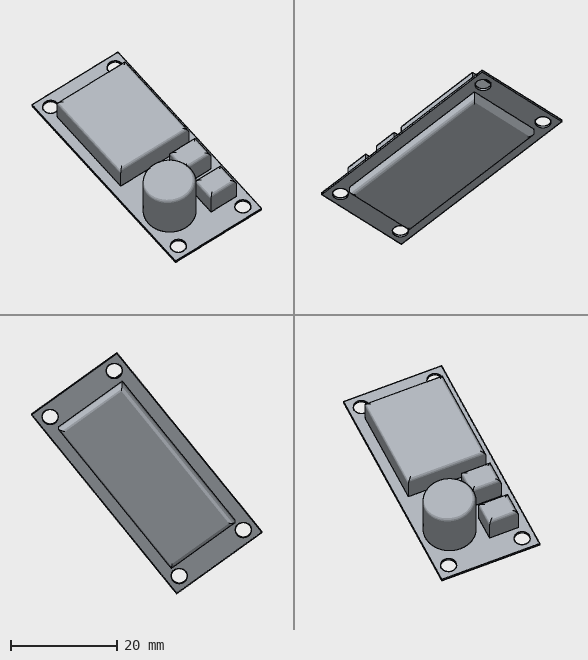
import cadquery as cq

board_length = 45
board_width = 20.2
board_thickness = 0.5
hole_diameter = 3.0
hole_spacing_x = 40.0
hole_spacing_y = 15.15

edge_radius = 1.0

block_height = 5.0
large_block_length = 20.0
large_block_width = 16.0
large_block_x = -7.45
small_block_length = 5.0
small_block_width = 6.0
small_block_y = 5.0
small_block_x_positions = (7.0, 15.0)

capacitor_diameter = 10.0
capacitor_height = 10.0
capacitor_x = 12.5
capacitor_y = -4.0

lower_block_length = 35.0
lower_block_width = 15.1
lower_block_height = 2.02


def make_board():
    return (
        cq.Workplane("XY")
        .box(board_length, board_width, board_thickness, centered=(True, True, False))
        .faces(">Z")
        .workplane()
        .rect(hole_spacing_x, hole_spacing_y, forConstruction=True)
        .vertices()
        .hole(hole_diameter)
    )


def make_top_block(length, width, x, y):
    """Block standing on the board, with rounded top edges."""
    return (
        cq.Workplane("XY")
        .center(x, y)
        .rect(length, width)
        .extrude(board_thickness + block_height)
        .faces(">Z")
        .edges()
        .fillet(edge_radius)
    )


def make_capacitor():
    return (
        cq.Workplane("XY")
        .center(capacitor_x, capacitor_y)
        .circle(capacitor_diameter / 2)
        .extrude(board_thickness + capacitor_height)
        .faces(">Z")
        .edges()
        .fillet(edge_radius)
    )


def make_lower_block():
    return (
        cq.Workplane("XY")
        .rect(lower_block_length, lower_block_width)
        .extrude(-lower_block_height)
        .faces("<Z")
        .edges()
        .fillet(edge_radius)
    )


result = make_board()
result = result.union(make_top_block(large_block_length, large_block_width, large_block_x, 0))
for small_block_x in small_block_x_positions:
    small_block = make_top_block(small_block_length, small_block_width, small_block_x, small_block_y)
    result = result.union(small_block)
result = result.union(make_capacitor())
result = result.union(make_lower_block())